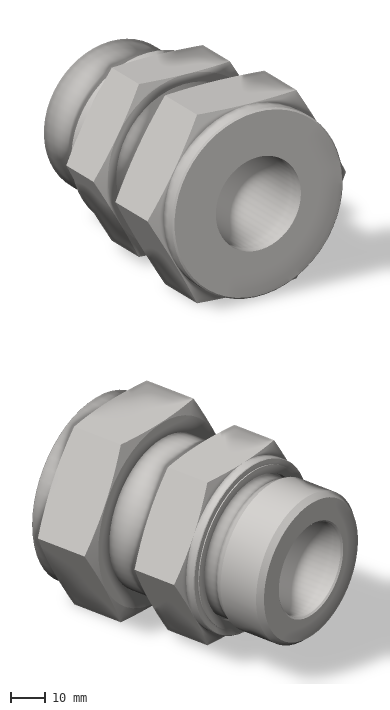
import cadquery as cq
import math

STUD_CHAMFER_END = 1.8
THREAD_END = 15.0
NECK_START = 18.0
SEAL_FACE = 21.75
COLLAR_FACE = 22.05
SEAL_GROOVE_DEPTH = 2.0
SEAL_SEAT = COLLAR_FACE + SEAL_GROOVE_DEPTH
BODY_HEX_START = 25.0
BODY_HEX_LENGTH = 17.0
NUT_START = 55.9
NUT_HEX_LENGTH = 20.0
TOTAL_LENGTH = 80.9
NUT_HEX_END = NUT_START + NUT_HEX_LENGTH

THREAD_RADIUS = 47.8 / 2
STUD_TIP_RADIUS = THREAD_RADIUS - 1.5
NECK_RADIUS = 22.2
SEAL_INNER_RADIUS = 22.9
SEAL_OUTER_RADIUS = 25.5
SLEEVE_RADIUS = 24.5
BORE_RADIUS = 14.85
SKIRT_RADIUS = 29.75

BODY_HEX_ACROSS_FLATS = 55.0
NUT_HEX_ACROSS_FLATS = 60.0
HEX_CHAMFER_ANGLE = 15.0
COLLAR_RADIUS = BODY_HEX_ACROSS_FLATS / 2

COLLAR_CHAMFER = 0.2
BORE_CHAMFER = 0.5
SKIRT_CHAMFER = 0.5


def revolve_about_x(points):
    """Turn a closed (x, radius) outline about the X axis."""
    return cq.Workplane("XY").polyline(points).close().revolve(360, (0, 0, 0), (1, 0, 0))


def cylinder_along_x(start, end, radius):
    return cq.Workplane("YZ", origin=(start, 0, 0)).circle(radius).extrude(end - start)


def chamfered_hexagon(start, length, across_flats, face_radius):
    """Hexagonal prism, flats facing up and down, with conical corners at both ends."""
    corner_radius = across_flats / math.sqrt(3)
    cone_length = (corner_radius - face_radius) * math.tan(math.radians(HEX_CHAMFER_ANGLE))
    end = start + length
    prism = cq.Workplane("YZ", origin=(start, 0, 0)).polygon(6, 2 * corner_radius).extrude(length)
    envelope = revolve_about_x([
        (start, 0),
        (start, face_radius),
        (start + cone_length, corner_radius),
        (end - cone_length, corner_radius),
        (end, face_radius),
        (end, 0),
    ])
    return prism.intersect(envelope)


def make_fitting():
    """Threaded stud end, grooved collar, sleeve and two hexagons around one through bore."""
    turned = revolve_about_x([
        (0, 0),
        (0, STUD_TIP_RADIUS),
        (STUD_CHAMFER_END, THREAD_RADIUS),
        (THREAD_END, THREAD_RADIUS),
        (NECK_START, NECK_RADIUS),
        (SEAL_SEAT, NECK_RADIUS),
        (SEAL_SEAT, SEAL_OUTER_RADIUS),
        (COLLAR_FACE, SEAL_OUTER_RADIUS),
        (COLLAR_FACE, COLLAR_RADIUS - COLLAR_CHAMFER),
        (COLLAR_FACE + COLLAR_CHAMFER, COLLAR_RADIUS),
        (BODY_HEX_START, COLLAR_RADIUS),
        (BODY_HEX_START, SLEEVE_RADIUS),
        (NUT_HEX_END, SLEEVE_RADIUS),
        (NUT_HEX_END, SKIRT_RADIUS),
        (TOTAL_LENGTH - SKIRT_CHAMFER, SKIRT_RADIUS),
        (TOTAL_LENGTH, SKIRT_RADIUS - SKIRT_CHAMFER),
        (TOTAL_LENGTH, 0),
    ])
    body_hexagon = chamfered_hexagon(BODY_HEX_START, BODY_HEX_LENGTH, BODY_HEX_ACROSS_FLATS, COLLAR_RADIUS)
    nut_hexagon = chamfered_hexagon(NUT_START, NUT_HEX_LENGTH, NUT_HEX_ACROSS_FLATS, SKIRT_RADIUS)
    bore = revolve_about_x([
        (0, 0),
        (0, BORE_RADIUS + BORE_CHAMFER),
        (BORE_CHAMFER, BORE_RADIUS),
        (TOTAL_LENGTH, BORE_RADIUS),
        (TOTAL_LENGTH, 0),
    ])
    return turned.union(body_hexagon).union(nut_hexagon).cut(bore)


def make_seal():
    """Flat ring seated in the collar groove, standing proud of the collar and clear of the neck."""
    ring = cylinder_along_x(SEAL_FACE, SEAL_SEAT, SEAL_OUTER_RADIUS)
    opening = cylinder_along_x(SEAL_FACE, SEAL_SEAT, SEAL_INNER_RADIUS)
    return ring.cut(opening)


fitting = make_fitting()
seal = make_seal()

result = cq.Compound.makeCompound([fitting.val(), seal.val()])